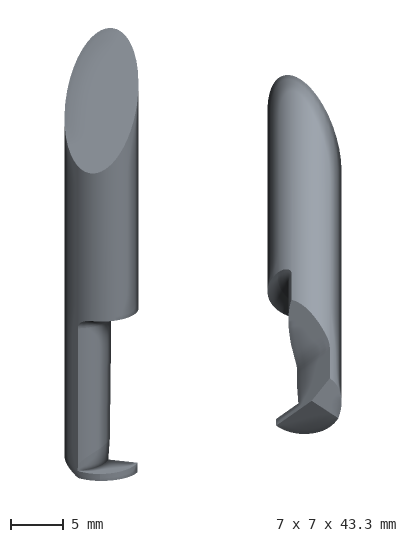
import cadquery as cq
import math


bar_radius = 3.5
bar_length = 43.31
bevel_angle = 60
bevel_drop = 2 * bar_radius * math.tan(math.radians(bevel_angle))

neck_reach = 0.77
neck_center = neck_reach - bar_radius
shoulder_height = 16.25
shoulder_fillet = 1.0

neck_relief_height = 3.15
neck_relief_angle = 4
neck_relief_shift = 0.055

rake_face = 0.2
rake_height = 6.3
runout_angle = 30
runout_fillet = 3.0

groove_width = 0.95
side_clearance = math.tan(math.radians(2))
tip_joint = 0.86
tip_flank_radius = 3.8

end_chamfer_angle = 30
end_chamfer_height = 1.37
end_chamfer_width = end_chamfer_height / math.tan(math.radians(end_chamfer_angle))

margin = 1.0
reach = bar_radius + margin
block_width = 2 * reach


def cut_across_x(points):
    """Prism along X over the whole bar, from (Y, Z) points."""
    return cq.Workplane("YZ").polyline(points).close().extrude(reach, both=True)


def neck_cylinder(height):
    """Cylinder shaping the neck, from one block width below Z = 0 up to the given height."""
    return (
        cq.Workplane("XY", origin=(neck_center, 0, -block_width))
        .circle(bar_radius)
        .extrude(height + block_width)
    )


def above_tip(top):
    """Block over the +X side, from the clearance-tilted tip flank up to the given height."""
    drop = side_clearance * (reach + rake_face)
    rise = side_clearance * (reach - rake_face)
    return cut_across_x([
        (-reach, groove_width - drop),
        (reach, groove_width + rise),
        (reach, top),
        (-reach, top),
    ])


def rear_bevel():
    overrun = margin * math.tan(math.radians(bevel_angle))
    low = bar_length - bevel_drop - overrun
    high = bar_length + overrun
    return cut_across_x([(-reach, low), (reach, high), (-reach, high)])


def neck_cut():
    """Material removed beside the neck, with a round under the shoulder."""
    shoulder_round = (
        cq.Workplane("XZ", origin=(neck_center, 0, 0))
        .moveTo(bar_radius, shoulder_height)
        .lineTo(bar_radius, shoulder_height - shoulder_fillet)
        .radiusArc((bar_radius + shoulder_fillet, shoulder_height), shoulder_fillet)
        .close()
        .revolve(360, (0, 0, 0), (0, 1, 0))
    )
    return above_tip(shoulder_height).cut(neck_cylinder(shoulder_height)).cut(shoulder_round)


def neck_relief():
    """Sliver removed from the neck just above the tip."""
    tilted = (
        neck_cylinder(shoulder_height)
        .rotate((0, 0, neck_relief_height), (0, 1, neck_relief_height), neck_relief_angle)
        .translate((0, -neck_relief_shift, 0))
    )
    plus_x_side = cq.Workplane("XY").box(
        reach - neck_center, block_width, neck_relief_height, centered=(False, True, False)
    ).translate((neck_center, 0, 0))
    return above_tip(neck_relief_height).intersect(plus_x_side).cut(tilted)


def chip_clearance():
    """Flat rake face on the +Y side, with a sloped and rounded run-out."""
    runout_top = rake_height + (reach - rake_face) / math.tan(math.radians(runout_angle))
    return cut_across_x([
        (rake_face, -margin),
        (rake_face, rake_height),
        (reach, runout_top),
        (reach, -margin),
    ]).edges(cq.selectors.NearestToPointSelector((0, rake_face, rake_height))).fillet(runout_fillet)


def bottom_clearance():
    rise = side_clearance * (reach + rake_face)
    fall = side_clearance * (reach - rake_face)
    return cut_across_x([(-reach, rise), (reach, -fall), (reach, -margin), (-reach, -margin)])


def end_chamfer():
    overrun = margin * math.tan(math.radians(end_chamfer_angle))
    return (
        cq.Workplane("XZ")
        .moveTo(-reach, end_chamfer_height + overrun)
        .lineTo(-bar_radius + end_chamfer_width + margin, -overrun)
        .lineTo(-reach, -overrun)
        .close()
        .extrude(reach, both=True)
    )


ground_bar = (
    cq.Workplane("XY")
    .circle(bar_radius)
    .extrude(bar_length)
    .cut(rear_bevel())
    .cut(neck_cut())
    .cut(neck_relief())
    .cut(chip_clearance())
    .cut(bottom_clearance())
    .cut(end_chamfer())
)

tip_height = 2 * groove_width
tip_zone = cq.Workplane("XY").box(
    reach - tip_joint, block_width, tip_height, centered=(False, True, False)
).translate((tip_joint, 0, 0))

flank_start = (tip_joint, -math.sqrt(bar_radius**2 - tip_joint**2))
cutting_corner = (math.sqrt(bar_radius**2 - rake_face**2), rake_face)
tip_outline = (
    cq.Workplane("XY")
    .moveTo(tip_joint, rake_face)
    .lineTo(*flank_start)
    .radiusArc(cutting_corner, -tip_flank_radius)
    .close()
    .extrude(tip_height)
)

cutting_tip = ground_bar.intersect(tip_outline)
bar = ground_bar.cut(tip_zone)

result = cq.Compound.makeCompound([bar.val(), cutting_tip.val()])